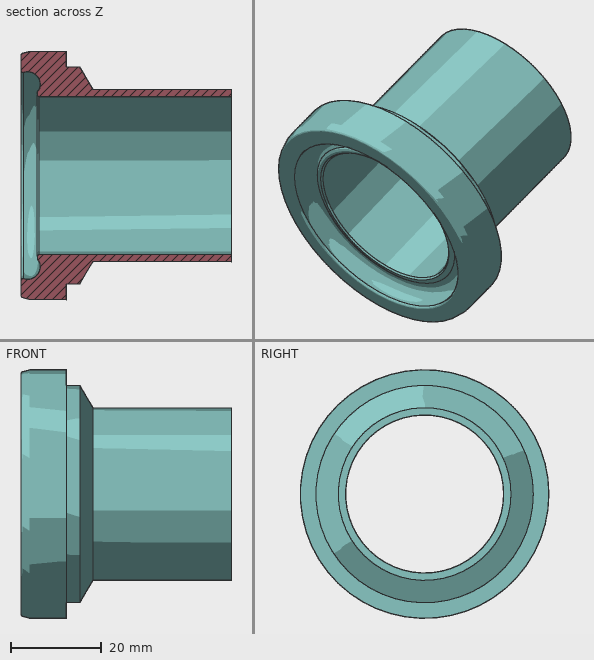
import cadquery as cq
import math

length = 46.5
flange_radius = 54.9 / 2
step_radius = 48.0 / 2
tube_radius = 38.1 / 2
bore_radius = 34.8 / 2

flange_taper_end = 2.0
flange_back = 10.05
step_end = 13.0
neck_end = 15.9

flange_taper_angle = 15
rim_round = 0.55

mouth_radius = 23.3
mouth_round = 0.55
groove_outer_radius = mouth_radius - mouth_round
groove_arc_radius = 2.75

lip_face = 3.55
lip_width = 0.95
lip_sweep = math.radians(50)
lip_outer_radius = tube_radius
lip_inner_radius = lip_outer_radius - lip_width
bore_chamfer = 0.4
lip_round = lip_width / math.sin(lip_sweep)
lip_centre_x = lip_face + lip_round


def arc_point(centre_x, centre_radius, radius, angle):
    """Point on a profile arc, with the angle measured from +X towards larger radii."""
    return centre_x + radius * math.cos(angle), centre_radius + radius * math.sin(angle)


def arc_middle(start, end, radius):
    """Middle of the minor arc that bulges towards +X on its way inwards from start to end."""
    chord_x = end[0] - start[0]
    chord_r = end[1] - start[1]
    chord = math.hypot(chord_x, chord_r)
    rise = radius - math.sqrt(radius**2 - (chord / 2) ** 2)
    middle_x = (start[0] + end[0]) / 2 - rise * chord_r / chord
    middle_r = (start[1] + end[1]) / 2 + rise * chord_x / chord
    return middle_x, middle_r


def make_outer_body():
    taper_drop = flange_taper_end * math.tan(math.radians(flange_taper_angle))
    body = (
        cq.Workplane("XY")
        .moveTo(0, 0)
        .lineTo(0, flange_radius - taper_drop)
        .lineTo(flange_taper_end, flange_radius)
        .lineTo(flange_back, flange_radius)
        .lineTo(flange_back, step_radius)
        .lineTo(step_end, step_radius)
        .lineTo(neck_end, tube_radius)
        .lineTo(length, tube_radius)
        .lineTo(length, 0)
        .close()
        .revolve(360, (0, 0, 0), (1, 0, 0))
    )
    return body.faces("<X").edges().fillet(rim_round)


def make_cavity():
    """Bore, lip, groove and rounded mouth as one revolved cutting body."""
    mouth_middle = arc_point(mouth_round, mouth_radius, mouth_round, math.radians(225))
    groove_start = (mouth_round, groove_outer_radius)
    groove_end = arc_point(lip_centre_x, lip_inner_radius, lip_round, math.pi - lip_sweep)
    groove_middle = arc_middle(groove_start, groove_end, groove_arc_radius)
    lip_middle = arc_point(lip_centre_x, lip_inner_radius, lip_round, math.pi - lip_sweep / 2)
    return (
        cq.Workplane("XY")
        .moveTo(0, 0)
        .lineTo(0, mouth_radius)
        .threePointArc(mouth_middle, groove_start)
        .threePointArc(groove_middle, groove_end)
        .threePointArc(lip_middle, (lip_face, lip_inner_radius))
        .lineTo(lip_face, bore_radius + bore_chamfer)
        .lineTo(lip_face + bore_chamfer, bore_radius)
        .lineTo(length, bore_radius)
        .lineTo(length, 0)
        .close()
        .revolve(360, (0, 0, 0), (1, 0, 0))
    )


result = make_outer_body().cut(make_cavity())